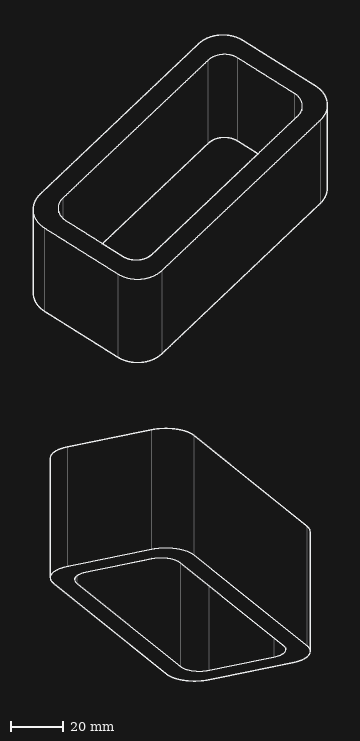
import cadquery as cq

width = 60.0
length = 120.0
height = 50.0
wall = 8.0
outer_radius = 12.0
inner_radius = 8.0


def rounded_block(size_x, size_y, corner_radius):
    """Block of full height, centred in X and Y, with rounded vertical edges."""
    block = cq.Workplane("XY").rect(size_x, size_y).extrude(height)
    return block.edges("|Z").fillet(corner_radius)


outer = rounded_block(width, length, outer_radius)
opening = rounded_block(width - 2 * wall, length - 2 * wall, inner_radius)

result = outer.cut(opening)